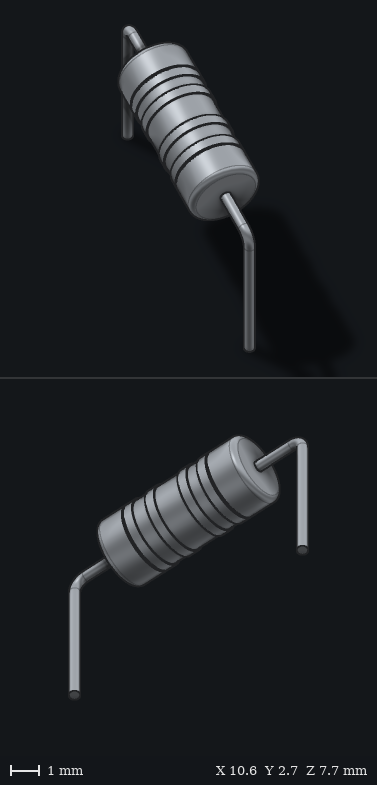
import cadquery as cq

overall_length = 10.6
overall_height = 7.7
body_length = 6.22
body_diameter = 2.7
core_diameter = 2.6
cap_length = 1.21
cap_edge_radius = 0.21
lead_diameter = 0.4
lead_bend_radius = 0.5

band_width = 0.39
cap_band_gap = 0.06
left_inner_band_center = -0.78
right_inner_band_center = 0.67

body_end = body_length / 2
cap_inner_end = body_end - cap_length
outer_band_center = cap_inner_end - cap_band_gap - band_width / 2
lead_x = (overall_length - lead_diameter) / 2
lead_bottom_z = body_diameter / 2 - overall_height


def cylinder_along_x(diameter, length, center_x):
    start = cq.Workplane("YZ").workplane(offset=center_x - length / 2)
    return start.circle(diameter / 2).extrude(length)


def end_cap(side):
    """Cap at one end of the body, rounded on its outer rim."""
    center_x = side * (body_end - cap_length / 2)
    outer_face = ">X" if side > 0 else "<X"
    cap = cylinder_along_x(body_diameter, cap_length, center_x)
    return cap.faces(outer_face).edges().fillet(cap_edge_radius)


def bent_lead(side):
    """Wire that leaves the cap along X, then bends down to its free end."""
    bend_start_x = lead_x - lead_bend_radius
    path = (
        cq.Workplane("XZ")
        .moveTo(side * cap_inner_end, 0)
        .lineTo(side * bend_start_x, 0)
        .tangentArcPoint((side * lead_x, -lead_bend_radius), relative=False)
        .lineTo(side * lead_x, lead_bottom_z)
    )
    section = cq.Workplane("YZ").workplane(offset=side * cap_inner_end)
    return section.circle(lead_diameter / 2).sweep(path)


result = cylinder_along_x(core_diameter, 2 * cap_inner_end, 0)

band_centers = (
    -outer_band_center,
    left_inner_band_center,
    right_inner_band_center,
    outer_band_center,
)
for band_center in band_centers:
    result = result.union(cylinder_along_x(body_diameter, band_width, band_center))

for side in (-1, 1):
    result = result.union(end_cap(side))
    result = result.union(bent_lead(side))